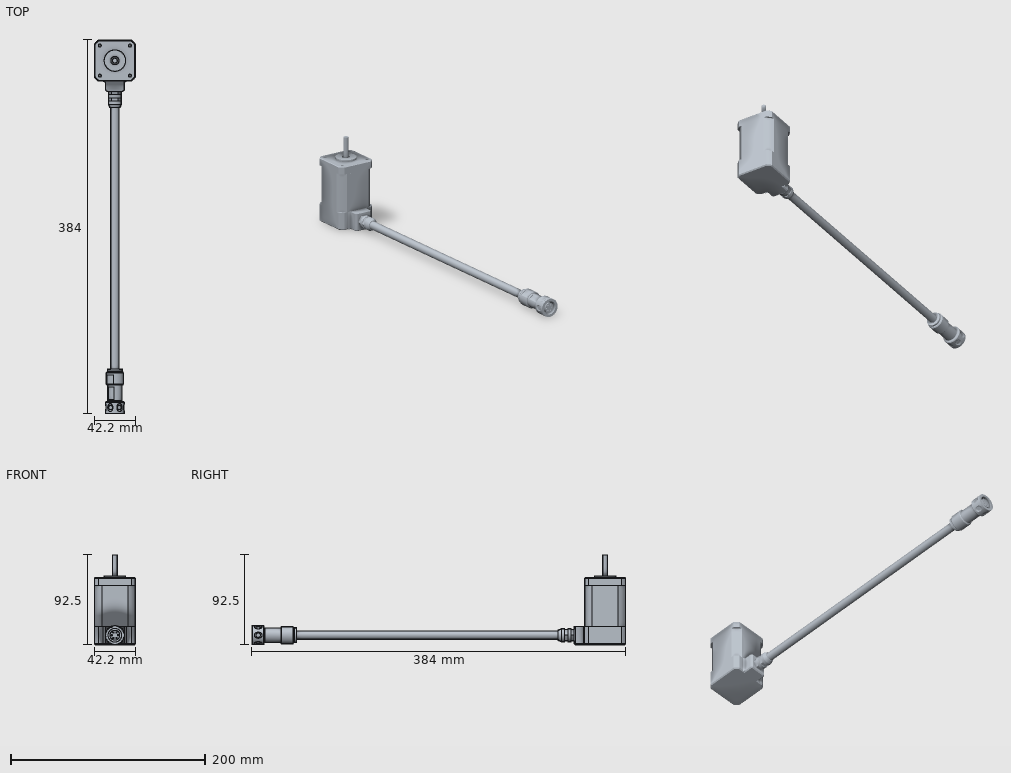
import cadquery as cq
import math


overall_length = 384.03
overall_height = 92.48

motor_side = 42.16
motor_half = motor_side / 2
shaft_dia = 5.0
shaft_reach = 23.5
bell_height = 8.2
stack_height = 41.8
cover_height = overall_height - shaft_reach - bell_height - stack_height
end_corner_dia = 54.0
stack_corner_dia = 50.0
bell_edge_chamfer = 0.7
cover_edge_chamfer = 1.1
pilot_dia = 22.0
pilot_height = 2.0
shaft_recess_dia = 8.5
shaft_recess_depth = 3.0
mount_hole_spacing = 31.0
mount_hole_dia = 3.0
mount_hole_depth = 4.5

stack_top = -bell_height
stack_bottom = stack_top - stack_height
cover_bottom = stack_bottom - cover_height

outlet_width = 19.4
outlet_length = 10.7
outlet_chamfer = 1.6
outlet_flare_width = 24.0
outlet_flare_length = 1.3

cable_height = 9.85
cable_z = cover_bottom + cable_height
gland_dia = 13.6
gland_rib_count = 2
gland_rib_length = 3.3
gland_neck_length = 3.3
gland_tip_length = 3.4
gland_tip_dia = 10.4
gland_length = gland_rib_count * (gland_neck_length + gland_rib_length) + gland_tip_length
cable_dia = 8.8

cap_length = 2.0
cap_dia = 15.4
cap_groove_length = 1.0
cap_groove_dia = 13.6
nut_length = 13.2
nut_dia = 17.8
nut_chamfer = 0.8
nut_flat_length = 9.4
barrel_length = 17.0
barrel_dia = 15.0
barrel_chamfer = 0.8
barrel_flat_length = 12.6
flat_depth = 0.95
flat_angle = 126.0
ring_length = 12.4
ring_dia = 19.6
ring_chamfer = 0.8
dimple_count = 6
dimple_floor_dia = 4.6
dimple_depth = 1.0
dimple_side_angle = 60.0
socket_dia = 14.0
socket_depth = 9.0
insert_dia = 10.0
insert_setback = 1.0
contact_count = 6
contact_circle_dia = 6.4
contact_dia = 1.2
contact_depth = 4.0

outlet_end_y = -motor_half - outlet_length
gland_end_y = outlet_end_y - gland_length
plug_end_y = motor_half - overall_length
ring_start_y = plug_end_y + ring_length
barrel_start_y = ring_start_y + barrel_length
nut_start_y = barrel_start_y + nut_length
plug_start_y = nut_start_y + cap_groove_length + cap_length


def motor_section(bottom, height, corner_dia):
    """Square block whose corners are rounded by a cylinder on the motor axis."""
    square = cq.Workplane("XY").box(motor_side, motor_side, height, centered=(True, True, False))
    corners = cq.Workplane("XY").circle(corner_dia / 2).extrude(height)
    return square.intersect(corners).translate((0, 0, bottom))


def across_cable(y):
    """Workplane on the cable axis at y, whose normal points along -Y, away from the motor."""
    return cq.Workplane("XZ", origin=(0, y, cable_z))


def rod(y, length, diameter):
    return across_cable(y).circle(diameter / 2).extrude(length)


def side_plane(y, radius, angle):
    """Workplane facing outwards at the given angle and radius from the cable axis (0 is +X, 90 is +Z)."""
    direction = (math.cos(math.radians(angle)), 0, math.sin(math.radians(angle)))
    origin = (radius * direction[0], y, cable_z + radius * direction[2])
    return cq.Workplane(cq.Plane(origin=origin, xDir=(0, 1, 0), normal=direction))


def side_flat(y_middle, length, diameter):
    """Cutter that leaves a flat on a round part of the plug."""
    floor = side_plane(y_middle, diameter / 2 - flat_depth, flat_angle)
    return floor.rect(length, diameter).extrude(diameter)


def make_front_bell():
    bell = motor_section(stack_top, bell_height, end_corner_dia)
    bell = bell.faces(">Z").edges().chamfer(bell_edge_chamfer)
    bell = bell.union(cq.Workplane("XY").circle(pilot_dia / 2).extrude(pilot_height))
    mount_holes = (
        cq.Workplane("XY")
        .rect(mount_hole_spacing, mount_hole_spacing, forConstruction=True)
        .vertices()
        .circle(mount_hole_dia / 2)
        .extrude(-mount_hole_depth)
    )
    recess = cq.Workplane("XY", origin=(0, 0, pilot_height)).circle(shaft_recess_dia / 2)
    shaft_seat = cq.Workplane("XY", origin=(0, 0, stack_top)).circle(shaft_dia / 2)
    bell = bell.cut(mount_holes).cut(recess.extrude(-shaft_recess_depth))
    return bell.cut(shaft_seat.extrude(bell_height))


def make_shaft():
    shaft_end = cq.Workplane("XY", origin=(0, 0, stack_top)).circle(shaft_dia / 2)
    return shaft_end.extrude(bell_height + shaft_reach)


def make_stack():
    return motor_section(stack_bottom, stack_height, stack_corner_dia)


def make_rear_cover():
    cover = motor_section(cover_bottom, cover_height, end_corner_dia)
    cover = cover.faces("<Z").edges().chamfer(cover_edge_chamfer)
    outlet = cq.Workplane("XY", origin=(0, outlet_end_y, cover_bottom)).box(
        outlet_width, outlet_length + motor_half, cover_height, centered=(True, False, False)
    )
    outlet = outlet.faces("<Y").edges("|Z").chamfer(outlet_chamfer)
    outlet = outlet.faces("<Z").edges().chamfer(cover_edge_chamfer)
    flare = (
        cq.Workplane("XY", origin=(0, -motor_half, cover_bottom))
        .moveTo(-outlet_flare_width / 2, 0)
        .lineTo(outlet_flare_width / 2, 0)
        .lineTo(outlet_width / 2, -outlet_flare_length)
        .lineTo(-outlet_width / 2, -outlet_flare_length)
        .close()
        .extrude(cover_height)
        .faces("<Z")
        .edges("<Y")
        .chamfer(cover_edge_chamfer)
    )
    return cover.union(outlet).union(flare)


def make_gland():
    """Hexagonal necks between round ribs, ending in a tapered tip."""
    gland = across_cable(outlet_end_y).polygon(6, gland_dia).extrude(gland_length - gland_tip_length)
    for rib in range(gland_rib_count):
        rib_y = outlet_end_y - gland_neck_length - rib * (gland_neck_length + gland_rib_length)
        gland = gland.union(rod(rib_y, gland_rib_length, gland_dia))
    tip_taper = math.degrees(math.atan2((gland_dia - gland_tip_dia) / 2, gland_tip_length))
    tip = across_cable(gland_end_y + gland_tip_length).circle(gland_dia / 2)
    tip = tip.extrude(gland_tip_length, taper=tip_taper)
    return gland.union(tip)


def make_cable():
    return rod(gland_end_y, gland_end_y - plug_start_y, cable_dia)


def make_back_nut():
    nut = rod(nut_start_y, nut_length, nut_dia).faces("|Y").edges().chamfer(nut_chamfer)
    flat_y = barrel_start_y + nut_chamfer + nut_flat_length / 2
    return nut.cut(side_flat(flat_y, nut_flat_length, nut_dia))


def make_barrel():
    barrel = rod(barrel_start_y, barrel_length, barrel_dia).faces("<Y").chamfer(barrel_chamfer)
    flat_y = (barrel_start_y + ring_start_y) / 2
    return barrel.cut(side_flat(flat_y, barrel_flat_length, barrel_dia))


def make_coupling_ring():
    """Gripping ring with round dimples, open at the mating face around the contact insert."""
    ring = rod(ring_start_y, ring_length, ring_dia).faces(">Y").chamfer(ring_chamfer)
    ring_middle_y = (ring_start_y + plug_end_y) / 2
    for index in range(dimple_count):
        floor = side_plane(ring_middle_y, ring_dia / 2 - dimple_depth, index * 360 / dimple_count)
        dimple = floor.circle(dimple_floor_dia / 2)
        ring = ring.cut(dimple.extrude(2 * dimple_depth, taper=-dimple_side_angle))

    socket_floor_y = plug_end_y + socket_depth
    ring = ring.cut(rod(socket_floor_y, socket_depth, socket_dia))
    insert = rod(socket_floor_y, socket_depth - insert_setback, insert_dia)
    contacts = (
        across_cable(plug_end_y + insert_setback)
        .polarArray(contact_circle_dia / 2, 0, 360, contact_count)
        .circle(contact_dia / 2)
        .extrude(-contact_depth)
    )
    return ring.union(insert.cut(contacts))


def make_plug():
    cap = rod(plug_start_y, cap_length, cap_dia)
    groove = rod(nut_start_y + cap_groove_length, cap_groove_length, cap_groove_dia)
    return cap.union(groove).union(make_back_nut()).union(make_barrel()).union(make_coupling_ring())


front_bell = make_front_bell()
shaft = make_shaft()
stack = make_stack()
rear_cover = make_rear_cover()
gland = make_gland()
cable = make_cable()
plug = make_plug()

result = cq.Compound.makeCompound(
    [
        front_bell.val(),
        shaft.val(),
        stack.val(),
        rear_cover.val(),
        gland.val(),
        cable.val(),
        plug.val(),
    ]
)